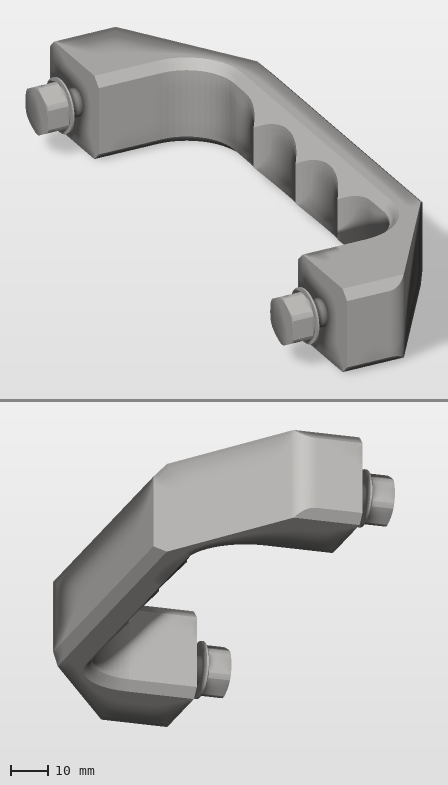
import cadquery as cq
import math

LENGTH = 170.0
REACH = 45.0
WIDTH = 25.0
EDGE_CHAMFER = 2.5

SHOULDER_START = 16.8
BACK_LENGTH = 86.0
SHOULDER_RADIUS = 7.5

OPENING_LENGTH = 114.0
OPENING_DEPTH = 33.3
OPENING_RADIUS = 14.3

GROOVE_PITCH = 24.0
GROOVE_RADIUS = 20.0
GROOVE_COUNT = 4

SCREW_SPACING = 140.0
SHANK_DIAMETER = 8.0
SHANK_LENGTH = 4.6
WASHER_DIAMETER = 15.6
WASHER_THICKNESS = 0.5
COLLAR_THICKNESS = 0.5
HEAD_CHAMFER_HEIGHT = 0.2
HEAD_SIDES = 6
HEAD_ACROSS_FLATS = 13.0
HEAD_CORNER_DIAMETER = 14.1
SCREW_LENGTH = 11.9
HALF_FLAT_ANGLE = 180 / HEAD_SIDES
HEAD_CHAMFER_WIDTH = (HEAD_CORNER_DIAMETER - HEAD_ACROSS_FLATS) / 2
HEAD_HEIGHT = SCREW_LENGTH - SHANK_LENGTH - WASHER_THICKNESS - COLLAR_THICKNESS

RIDGE_HEIGHT = GROOVE_RADIUS - math.sqrt(GROOVE_RADIUS**2 - (GROOVE_PITCH / 2) ** 2)
FLARE_DEPTH = EDGE_CHAMFER + RIDGE_HEIGHT
FLARE_ANGLE = 45
CUT_MARGIN = 2 * FLARE_DEPTH


def make_blank():
    """Solid outline of the handle, with its ends and back edges chamfered."""
    half_length = LENGTH / 2
    half_back = BACK_LENGTH / 2
    outline = (
        cq.Workplane("XY")
        .polyline(
            [
                (-half_length, 0),
                (half_length, 0),
                (half_length, SHOULDER_START),
                (half_back, REACH),
                (-half_back, REACH),
                (-half_length, SHOULDER_START),
            ]
        )
        .close()
        .extrude(WIDTH / 2, both=True)
    )
    shoulder_zone = cq.selectors.BoxSelector(
        (-LENGTH, SHOULDER_START - SHOULDER_RADIUS, -WIDTH),
        (LENGTH, SHOULDER_START + SHOULDER_RADIUS, WIDTH),
    )
    outline = outline.edges("|Z").edges(shoulder_zone).fillet(SHOULDER_RADIUS)
    envelope = (
        cq.Workplane("XY")
        .box(LENGTH, REACH, WIDTH, centered=(True, False, True))
        .edges("|Y or (|X and >Y)")
        .chamfer(EDGE_CHAMFER)
    )
    return outline.intersect(envelope)


def opening_outline(plane, offset):
    """Round-cornered hand opening, enlarged by offset on all sides."""
    half_length = OPENING_LENGTH / 2 + offset
    depth = OPENING_DEPTH + offset
    radius = OPENING_RADIUS + offset
    return (
        plane.moveTo(-half_length, -CUT_MARGIN)
        .lineTo(-half_length, depth - radius)
        .radiusArc((-half_length + radius, depth), radius)
        .lineTo(half_length - radius, depth)
        .radiusArc((half_length, depth - radius), radius)
        .lineTo(half_length, -CUT_MARGIN)
        .close()
    )


def make_finger_ridges():
    """Material left in the opening between the finger grooves."""
    first_groove = -GROOVE_PITCH * (GROOVE_COUNT - 1) / 2
    crest = OPENING_DEPTH - RIDGE_HEIGHT
    half_pitch = GROOVE_PITCH / 2
    ridges = cq.Workplane("XY").moveTo(first_groove, OPENING_DEPTH)
    for index in range(GROOVE_COUNT - 1):
        groove = first_groove + index * GROOVE_PITCH
        ridges = ridges.radiusArc((groove + half_pitch, crest), GROOVE_RADIUS)
        ridges = ridges.radiusArc((groove + GROOVE_PITCH, OPENING_DEPTH), GROOVE_RADIUS)
    return (
        ridges.lineTo(-first_groove, OPENING_DEPTH + EDGE_CHAMFER)
        .lineTo(first_groove, OPENING_DEPTH + EDGE_CHAMFER)
        .close()
        .extrude(WIDTH / 2, both=True)
    )


def make_opening():
    """Cutter for the hand opening: grooved grip plus the sloping edge flares."""
    opening = opening_outline(cq.Workplane("XY"), 0).extrude(WIDTH / 2, both=True)
    opening = opening.cut(make_finger_ridges())
    lower_face = cq.Workplane("XY", origin=(0, 0, -WIDTH / 2))
    flare = opening_outline(lower_face, EDGE_CHAMFER).extrude(FLARE_DEPTH, taper=FLARE_ANGLE)
    return opening.union(flare).union(flare.mirror("XY"))


def cylinder(x, start, diameter, length):
    """Cylinder along -Y, starting at Y = -start."""
    return (
        cq.Workplane("XZ", origin=(x, -start, 0)).circle(diameter / 2).extrude(length)
    )


def make_screw(x):
    """Exposed part of a screw: shank, washer, collar and hexagon head."""
    collar_start = SHANK_LENGTH + WASHER_THICKNESS
    head_start = collar_start + COLLAR_THICKNESS
    across_corners = HEAD_ACROSS_FLATS / math.cos(math.radians(HALF_FLAT_ANGLE))
    head_round = (
        cylinder(x, head_start, HEAD_CORNER_DIAMETER, HEAD_HEIGHT)
        .faces("<Y")
        .chamfer(HEAD_CHAMFER_HEIGHT, HEAD_CHAMFER_WIDTH)
    )
    head = (
        cq.Workplane("XZ", origin=(x, -head_start, 0))
        .transformed(rotate=(0, 0, HALF_FLAT_ANGLE))
        .polygon(HEAD_SIDES, across_corners)
        .extrude(HEAD_HEIGHT)
        .intersect(head_round)
    )
    shank = cylinder(x, 0, SHANK_DIAMETER, SHANK_LENGTH)
    washer = cylinder(x, SHANK_LENGTH, WASHER_DIAMETER, WASHER_THICKNESS)
    collar = cylinder(x, collar_start, HEAD_ACROSS_FLATS, COLLAR_THICKNESS)
    return shank.union(washer).union(collar).union(head)


result = make_blank().cut(make_opening())
for side in (-1, 1):
    result = result.union(make_screw(side * SCREW_SPACING / 2))